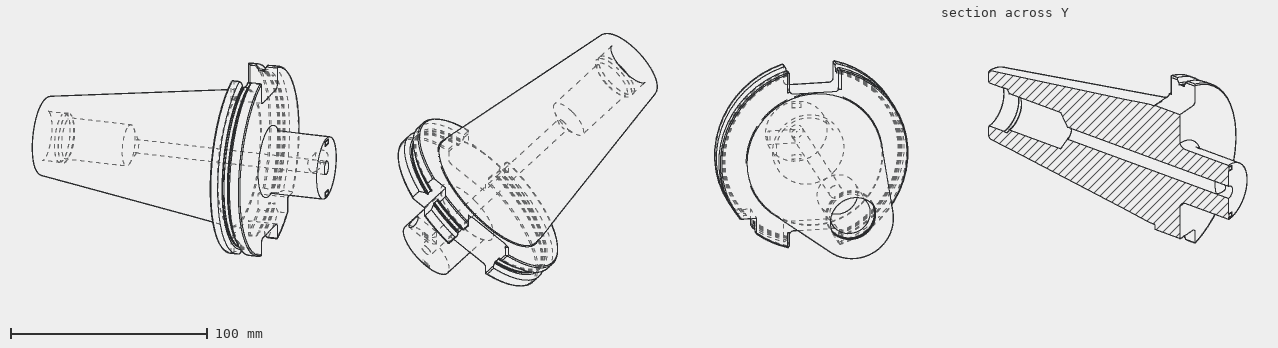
import cadquery as cq
import math

gauge_x = 101.7
flange_x = 104.9
flange_end_x = 120.8
lug_height = 0.3
total_length = 151.6
nose_end_x = total_length - lug_height

gauge_radius = 69.9 / 2
taper_slope = 7 / 48
small_end_radius = gauge_radius - gauge_x * taper_slope
small_end_fillet = 2.1
shank_root_fillet = 0.5

counterbore_radius = 25.0 / 2
counterbore_mouth_round = 1.2
relief_radius = 25.5 / 2
relief_start_x = 10.0
relief_end_x = 12.0
countersink_half_angle = math.radians(60)
thread_bore_radius = 21.0 / 2
thread_bore_end_x = 45.5
drill_point_half_angle = math.radians(59)
coolant_radius = 6.8 / 2

flange_radius = 97.3 / 2
flange_chamfer = 0.6

groove_center_x = 112.3
groove_rim_half_width = 3.2
groove_base_half_width = 1.7
groove_floor_half_width = 0.9
groove_base_radius = 46.2
groove_floor_radius = 45.5
groove_relief_radius = 45.2

slot_width = 25.5
slot_floor_top = 35.3
slot_floor_bottom = -37.7
slot_corner_fillet = 2.0
slot_edge_chamfer = 0.8
slot_face_chamfer = 1.2
slot_face_chamfer_start = 0.9
notch_offset = 29.9

nose_radius = 32.0 / 2
nose_root_radius = 18.5
nose_root_length = 3.3

lug_inner = 12.6
lug_outer = 14.9
lug_width = 4.7

screw_diameter = 6.8
screw_x = 143.5


def turned_body():
    """Taper shank, grooved flange and nose turned about the X axis."""
    root_angle = 2 * math.atan2(nose_root_radius - nose_radius, nose_root_length)
    root_arc_radius = nose_root_length / math.sin(root_angle)
    arc_mid_x = flange_end_x + nose_root_length - root_arc_radius * math.sin(root_angle / 2)
    arc_mid_radius = nose_radius + root_arc_radius * (1 - math.cos(root_angle / 2))
    profile = (
        cq.Workplane("XY")
        .moveTo(0, 0)
        .lineTo(0, small_end_radius)
        .lineTo(gauge_x, gauge_radius)
        .lineTo(flange_x - shank_root_fillet, gauge_radius)
        .radiusArc((flange_x, gauge_radius + shank_root_fillet), -shank_root_fillet)
        .lineTo(flange_x, flange_radius - flange_chamfer)
        .lineTo(flange_x + flange_chamfer, flange_radius)
        .lineTo(groove_center_x - groove_rim_half_width, flange_radius)
        .lineTo(groove_center_x - groove_base_half_width, groove_base_radius)
        .lineTo(groove_center_x - groove_base_half_width, groove_relief_radius)
        .lineTo(groove_center_x - groove_floor_half_width, groove_relief_radius)
        .lineTo(groove_center_x - groove_floor_half_width, groove_floor_radius)
        .lineTo(groove_center_x + groove_floor_half_width, groove_floor_radius)
        .lineTo(groove_center_x + groove_floor_half_width, groove_relief_radius)
        .lineTo(groove_center_x + groove_base_half_width, groove_relief_radius)
        .lineTo(groove_center_x + groove_base_half_width, groove_base_radius)
        .lineTo(groove_center_x + groove_rim_half_width, flange_radius)
        .lineTo(flange_end_x - flange_chamfer, flange_radius)
        .lineTo(flange_end_x, flange_radius - flange_chamfer)
        .lineTo(flange_end_x, nose_root_radius)
        .threePointArc((arc_mid_x, arc_mid_radius), (flange_end_x + nose_root_length, nose_radius))
        .lineTo(nose_end_x, nose_radius)
        .lineTo(nose_end_x, 0)
        .close()
    )
    body = profile.revolve(360, (0, 0, 0), (1, 0, 0))
    return body.faces("<X").edges().fillet(small_end_fillet)


def drawbar_bore():
    """Stepped bore with a drill point that runs out into the coolant hole."""
    countersink_length = (counterbore_radius - thread_bore_radius) / math.tan(countersink_half_angle)
    point_length = (thread_bore_radius - coolant_radius) / math.tan(drill_point_half_angle)
    return (
        cq.Workplane("XY")
        .moveTo(0, 0)
        .lineTo(0, counterbore_radius + counterbore_mouth_round)
        .radiusArc((counterbore_mouth_round, counterbore_radius), -counterbore_mouth_round)
        .lineTo(relief_start_x, counterbore_radius)
        .lineTo(relief_start_x, relief_radius)
        .lineTo(relief_end_x, relief_radius)
        .lineTo(relief_end_x, counterbore_radius)
        .lineTo(relief_end_x + countersink_length, thread_bore_radius)
        .lineTo(thread_bore_end_x, thread_bore_radius)
        .lineTo(thread_bore_end_x + point_length, coolant_radius)
        .lineTo(total_length, coolant_radius)
        .lineTo(total_length, 0)
        .close()
        .revolve(360, (0, 0, 0), (1, 0, 0))
    )


def flange_cut(y_center, y_size, z_from, z_to):
    """Box that cuts through the full flange thickness."""
    length = flange_end_x - flange_x
    return cq.Workplane("XY").box(length, y_size, abs(z_to - z_from)).translate(
        (flange_x + length / 2, y_center, (z_from + z_to) / 2)
    )


def slot_edge_flare(side):
    """Wedge that bevels the slot walls where they meet the flange rim, at +Z or -Z."""
    half_width = slot_width / 2
    bevel_top = math.sqrt(flange_radius**2 - (half_width + slot_edge_chamfer) ** 2)
    bevel_start = bevel_top - slot_edge_chamfer
    rise = flange_radius - bevel_start
    return (
        cq.Workplane("YZ", origin=(flange_x, 0, 0))
        .moveTo(-half_width, side * bevel_start)
        .lineTo(half_width, side * bevel_start)
        .lineTo(half_width + rise, side * flange_radius)
        .lineTo(-half_width - rise, side * flange_radius)
        .close()
        .extrude(flange_end_x - flange_x)
    )


def slot_face_flare(floor_z, side):
    """Wedge that bevels the slot walls where they meet the taper-side flange face."""
    half_width = slot_width / 2
    bevel_floor = floor_z + side * slot_face_chamfer_start
    return (
        cq.Workplane("XY", origin=(0, 0, bevel_floor))
        .moveTo(flange_x, -half_width - slot_face_chamfer)
        .lineTo(flange_x, half_width + slot_face_chamfer)
        .lineTo(flange_x + slot_face_chamfer, half_width)
        .lineTo(flange_x + slot_face_chamfer, -half_width)
        .close()
        .extrude(side * flange_radius - bevel_floor)
    )


def drive_slot(floor_z):
    """Slot with rounded floor corners and bevelled wall edges, open at the flange rim."""
    side = math.copysign(1, floor_z)
    slot = flange_cut(0, slot_width, floor_z, side * flange_radius)
    slot = slot.faces("<Z" if side > 0 else ">Z").edges("|X").fillet(slot_corner_fillet)
    return slot.union(slot_edge_flare(side)).union(slot_face_flare(floor_z, side))


def orientation_notch():
    """Square notch in the rim at +Y, -Z."""
    size = flange_radius - notch_offset
    return flange_cut(notch_offset + size / 2, size, -notch_offset, -flange_radius)


def drive_lug(side):
    """Low lug on the nose end face, on the +Z or -Z side."""
    size = lug_outer - lug_inner
    return cq.Workplane("XY").box(lug_height, lug_width, size).translate(
        (nose_end_x + lug_height / 2, 0, side * (lug_inner + size / 2))
    )


def clamp_screw():
    """Radial screw from the nose surface on the +Y side to the coolant hole."""
    rod = (
        cq.Workplane("XZ", origin=(screw_x, 0, 0))
        .circle(screw_diameter / 2)
        .extrude(-flange_radius)
    )
    nose = cq.Workplane("YZ").circle(nose_radius).circle(coolant_radius).extrude(nose_end_x)
    return rod.intersect(nose)


screw = clamp_screw()
holder = turned_body().cut(drawbar_bore())
for floor_z in (slot_floor_top, slot_floor_bottom):
    holder = holder.cut(drive_slot(floor_z))
holder = holder.cut(orientation_notch())
for side in (1, -1):
    holder = holder.union(drive_lug(side))
holder = holder.cut(screw)

result = cq.Compound.makeCompound([holder.solids().val(), screw.solids().val()])